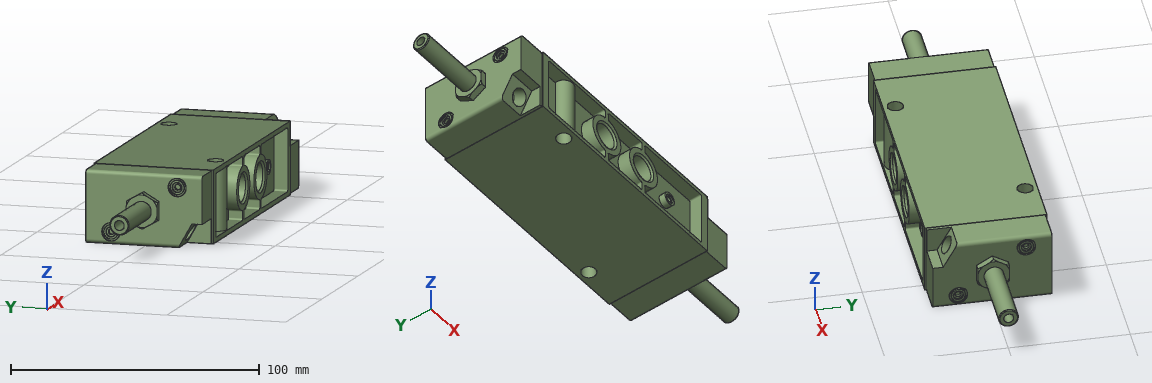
import cadquery as cq
import math

overall_length = 202.0
body_length = 106.7
body_depth = 50.0
height = 30.3
front_y = -body_depth / 2

mount_hole_dia = 6.5
mount_hole_x = 33.5
mount_hole_y = 20.0
mount_boss_dia = 9.0

recess_length = 99.4
recess_height = 26.3
recess_depth = 5.9
recess_floor_y = front_y + recess_depth
recess_corner_radius = 0.8

port_positions = (-12.0, 12.0)
port_boss_dia = 18.2
port_dia = 11.5
port_depth = 16.2
port_chamfer = 0.8
rib_width = 1.8

pin_x = 32.5
pin_dia = 6.0
pin_length = 3.0
pin_socket_dia = 4.0
pin_socket_depth = 0.6
pin_bore_dia = 2.5
pin_bore_depth = 2.0

cap_length = 13.7
cap_depth = 48.9
cap_height = 29.9
cap_edge_radius = 1.6
cap_end_x = body_length / 2 + cap_length

notch_body_gap = 1.2
notch_length = cap_length - notch_body_gap
notch_slope_start_y = -14.3
notch_slope_end_y = -20.2
notch_height = 10.3

notch_hole_dia = 7.5
notch_hole_depth = 7.0
notch_hole_inset = 8.0

screw_y = 14.0
screw_z = 9.9
screw_recess_dia = 7.5
screw_recess_depth = 0.8
screw_head_dia = 5.9
screw_socket_dia = 4.0
screw_socket_depth = 0.8
screw_bore_dia = 2.5
screw_bore_depth = 2.0

nut_across_flats = 13.0
nut_thickness = 3.0
nut_face_dia = 13.3
nut_chamfer_height = 0.6
rod_dia = 8.0
rod_chamfer = 0.5
rod_bore_dia = 4.0
rod_bore_depth = 12.1
drill_point_angle = 118.0


def front_cylinder(x, z, diameter, start_y, end_y):
    """Cylinder along +Y from start_y to end_y."""
    plane = cq.Plane(origin=(x, start_y, z), xDir=(1, 0, 0), normal=(0, 1, 0))
    return cq.Workplane(plane).circle(diameter / 2).extrude(end_y - start_y)


def end_cylinder(y, z, diameter, start_x, end_x):
    """Cylinder along +X from start_x to end_x."""
    plane = cq.Plane(origin=(start_x, y, z), xDir=(0, 1, 0), normal=(1, 0, 0))
    return cq.Workplane(plane).circle(diameter / 2).extrude(end_x - start_x)


def recess_cutter():
    """Space to remove from the front face, leaving ports, ribs, mounting boss and pin."""
    middle_y = (front_y + recess_floor_y) / 2
    cutter = cq.Workplane("XY").box(recess_length, recess_depth, recess_height).translate((0, middle_y, 0))
    for x in port_positions:
        rib = cq.Workplane("XY").box(rib_width, recess_depth, recess_height).translate((x, middle_y, 0))
        cutter = cutter.cut(rib).cut(front_cylinder(x, 0, port_boss_dia, front_y, recess_floor_y))
    cutter = cutter.edges("|Y").fillet(recess_corner_radius)

    mount_boss = cq.Workplane("XY").center(-mount_hole_x, -mount_hole_y).circle(mount_boss_dia / 2)
    cutter = cutter.cut(mount_boss.extrude(height / 2, both=True))
    pin = front_cylinder(pin_x, 0, pin_dia, recess_floor_y - pin_length, recess_floor_y)
    return cutter.cut(pin)


def port_cutter(x):
    """Blind port bore with a chamfered mouth."""
    bore = front_cylinder(x, 0, port_dia, front_y, front_y + port_depth)
    mouth_plane = cq.Plane(origin=(x, front_y, 0), xDir=(1, 0, 0), normal=(0, 1, 0))
    mouth = (
        cq.Workplane(mouth_plane)
        .circle(port_dia / 2 + port_chamfer)
        .workplane(offset=port_chamfer)
        .circle(port_dia / 2)
        .loft()
    )
    return bore.union(mouth)


def make_body():
    body = cq.Workplane("XY").box(body_length, body_depth, height)
    body = body.cut(recess_cutter())
    for x in port_positions:
        body = body.cut(port_cutter(x))

    pin_face_y = recess_floor_y - pin_length
    body = body.cut(front_cylinder(pin_x, 0, pin_socket_dia, pin_face_y, pin_face_y + pin_socket_depth))
    body = body.cut(front_cylinder(pin_x, 0, pin_bore_dia, pin_face_y, pin_face_y + pin_bore_depth))

    mount_points = [(-mount_hole_x, -mount_hole_y), (mount_hole_x, mount_hole_y)]
    holes = cq.Workplane("XY").pushPoints(mount_points).circle(mount_hole_dia / 2)
    return body.cut(holes.extrude(height / 2, both=True))


def notch_cutter():
    """Lower front corner notch of the -X cap, with a hole square to its sloped wall."""
    bottom_z = -cap_height / 2
    top_z = bottom_z + notch_height
    notch = (
        cq.Workplane("YZ", origin=(-cap_end_x, 0, 0))
        .moveTo(notch_slope_start_y, bottom_z)
        .lineTo(notch_slope_end_y, top_z)
        .lineTo(front_y, top_z)
        .lineTo(front_y, bottom_z)
        .close()
        .extrude(notch_length)
    )
    hole_center = (
        -cap_end_x + notch_hole_inset,
        (notch_slope_start_y + notch_slope_end_y) / 2,
        (bottom_z + top_z) / 2,
    )
    inward = (0, notch_height, notch_slope_start_y - notch_slope_end_y)
    hole_plane = cq.Plane(origin=hole_center, xDir=(1, 0, 0), normal=inward)
    hole = cq.Workplane(hole_plane).circle(notch_hole_dia / 2).extrude(notch_hole_depth)
    return notch.union(hole)


def screw_cutter(y, z):
    """Ring-shaped gap around a flush screw head, and the stepped socket in the head."""
    face_x = -cap_end_x
    gap = end_cylinder(y, z, screw_recess_dia, face_x, face_x + screw_recess_depth)
    gap = gap.cut(end_cylinder(y, z, screw_head_dia, face_x, face_x + screw_recess_depth))
    socket = end_cylinder(y, z, screw_socket_dia, face_x, face_x + screw_socket_depth)
    bore = end_cylinder(y, z, screw_bore_dia, face_x, face_x + screw_bore_depth)
    return gap.union(socket).union(bore)


def make_cap():
    middle_x = -(body_length + cap_length) / 2
    cap = cq.Workplane("XY").box(cap_length, cap_depth, cap_height).translate((middle_x, 0, 0))
    cap = cap.faces("<X").edges("|Y").fillet(cap_edge_radius)
    cap = cap.cut(notch_cutter())
    for side in (-1, 1):
        cap = cap.cut(screw_cutter(-side * screw_y, side * screw_z))
    return cap


def make_nut():
    """Hexagon nut with its outer corners turned to a cone."""
    corner_dia = nut_across_flats / math.cos(math.radians(30))
    outer_x = -cap_end_x - nut_thickness
    nut = (
        cq.Workplane("YZ", origin=(outer_x, 0, 0))
        .polygon(6, corner_dia)
        .extrude(nut_thickness)
        .rotate((0, 0, 0), (1, 0, 0), 90)
    )
    turned = end_cylinder(0, 0, corner_dia, outer_x, -cap_end_x)
    corner_cut = (corner_dia - nut_face_dia) / 2
    turned = turned.faces("<X").chamfer(nut_chamfer_height, corner_cut)
    return nut.intersect(turned)


def make_rod():
    """Rod with a chamfered tip and a drilled, cone-ended bore."""
    tip_x = -overall_length / 2
    rod = end_cylinder(0, 0, rod_dia, tip_x, -cap_end_x).faces("<X").chamfer(rod_chamfer)
    bore_radius = rod_bore_dia / 2
    point_length = bore_radius / math.tan(math.radians(drill_point_angle / 2))
    bore = (
        cq.Workplane("XY")
        .moveTo(tip_x, 0)
        .lineTo(tip_x, bore_radius)
        .lineTo(tip_x + rod_bore_depth, bore_radius)
        .lineTo(tip_x + rod_bore_depth + point_length, 0)
        .close()
        .revolve(360, (tip_x, 0, 0), (0, 0, 0))
    )
    return rod.cut(bore)


left_end = make_cap().union(make_nut()).union(make_rod())
right_end = left_end.rotate((0, 0, 0), (0, 1, 0), 180)

result = make_body().union(left_end).union(right_end)